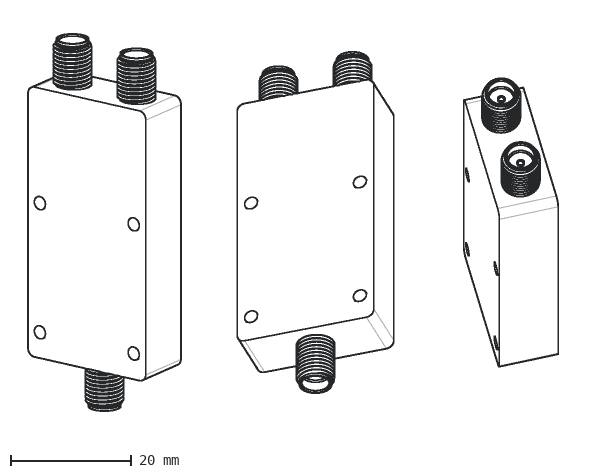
import cadquery as cq

body_width = 24.0
body_depth = 10.05
body_height = 47.05
corner_radius = 1.3

hole_diameter = 2.25
hole_spacing_x = 19.1
hole_spacing_z = 22.5
hole_edge_distance = 4.5

total_height = 62.75
connector_length = (total_height - body_height) / 2
connector_spacing = 13.0
connector_embed = 0.95
root_radius = 2.75
crest_radius = 3.2
rim_radius = 2.7
rim_length = 0.45
lead_in_length = 0.8

pitch = 0.7
thread_base_width = 0.66
thread_crest_width = 0.095
thread_overlap = 0.05
crest_below_rim = 1.65

bore_radius = 2.25
bore_depth = 1.9
mouth_radius = 2.45
mouth_depth = 0.25
floor_radius = 2.1
floor_taper_depth = 0.3
contact_radius = 0.6
contact_recess = 0.1
contact_hole_radius = 0.45
contact_hole_depth = 1.25


def make_housing():
    plate = cq.Workplane("XY").box(body_width, body_depth, body_height)
    plate = plate.edges("|Y").fillet(corner_radius)
    hole_center_z = -body_height / 2 + hole_edge_distance + hole_spacing_z / 2
    holes = (
        cq.Workplane("XZ", origin=(0, 0, hole_center_z))
        .rarray(hole_spacing_x, hole_spacing_z, 2, 2)
        .circle(hole_diameter / 2)
        .extrude(body_depth, both=True)
    )
    return plate.cut(holes)


def make_thread_ridge():
    """Right-handed ridge with a trapezoidal section, running past both ends of the connector."""
    turns_below_crest = int((connector_length - crest_below_rim + connector_embed) / pitch) + 1
    start_z = connector_length - crest_below_rim - turns_below_crest * pitch
    helix_height = connector_length + pitch - start_z
    path = cq.Wire.makeHelix(pitch, helix_height, root_radius).moved(cq.Location(cq.Vector(0, 0, start_z)))
    inner_radius = root_radius - thread_overlap
    return (
        cq.Workplane("XZ")
        .moveTo(inner_radius, start_z - thread_base_width / 2)
        .lineTo(crest_radius, start_z - thread_crest_width / 2)
        .lineTo(crest_radius, start_z + thread_crest_width / 2)
        .lineTo(inner_radius, start_z + thread_base_width / 2)
        .close()
        .sweep(cq.Workplane(obj=path), isFrenet=True)
    )


def make_envelope():
    """Outer limit of the threaded barrel, with a conical lead-in below a plain rim."""
    return (
        cq.Workplane("XZ")
        .moveTo(0, -connector_embed)
        .lineTo(crest_radius + thread_overlap, -connector_embed)
        .lineTo(crest_radius + thread_overlap, connector_length - rim_length - lead_in_length)
        .lineTo(rim_radius, connector_length - rim_length)
        .lineTo(rim_radius, connector_length)
        .lineTo(0, connector_length)
        .close()
        .revolve(360, (0, 0, 0), (0, 1, 0))
    )


def make_socket():
    """Bore with a chamfered mouth, tapering in to its floor, with a stepped contact hole."""
    taper_z = connector_length - bore_depth
    floor_z = taper_z - floor_taper_depth
    contact_z = floor_z - contact_recess
    return (
        cq.Workplane("XZ")
        .moveTo(0, connector_length)
        .lineTo(mouth_radius, connector_length)
        .lineTo(bore_radius, connector_length - mouth_depth)
        .lineTo(bore_radius, taper_z)
        .lineTo(floor_radius, floor_z)
        .lineTo(contact_radius, floor_z)
        .lineTo(contact_radius, contact_z)
        .lineTo(contact_hole_radius, contact_z)
        .lineTo(contact_hole_radius, floor_z - contact_hole_depth)
        .lineTo(0, floor_z - contact_hole_depth)
        .close()
        .revolve(360, (0, 0, 0), (0, 1, 0))
    )


def make_connector():
    """Connector pointing along +Z, with its seat on the housing at Z = 0."""
    core_length = connector_length + connector_embed + pitch
    core = cq.Workplane("XY", origin=(0, 0, -connector_embed)).circle(root_radius).extrude(core_length)
    barrel = core.union(make_thread_ridge()).intersect(make_envelope())
    return barrel.cut(make_socket())


connector = make_connector()
flipped_connector = connector.rotate((0, 0, 0), (0, 1, 0), 180)

result = make_housing()
for side in (-1, 1):
    result = result.union(connector.translate((side * connector_spacing / 2, 0, body_height / 2)))
result = result.union(flipped_connector.translate((0, 0, -body_height / 2)))